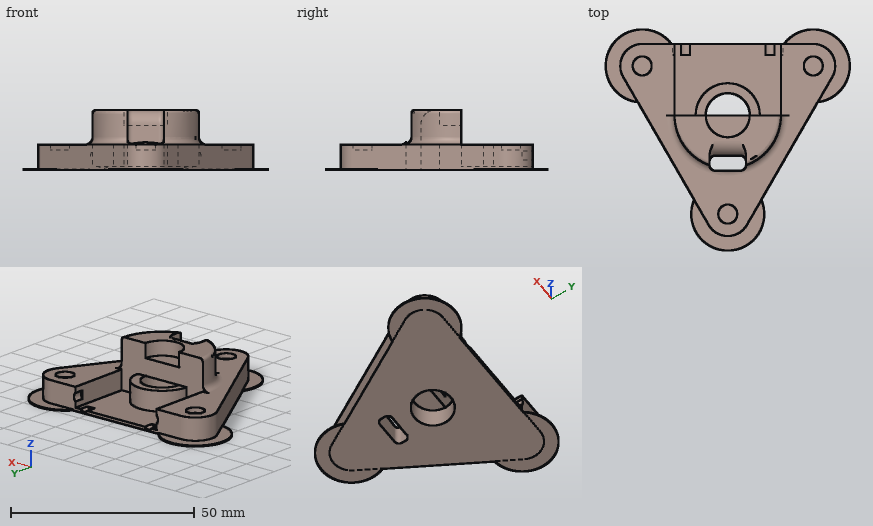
import cadquery as cq
import math

corner_spacing = 46.7
corner_radius = 6.0
base_height = 7.0
corner_distance = corner_spacing / math.sqrt(3)
back_y = corner_distance / 2 + corner_radius

pad_radius = 10.0
pad_thickness = 0.3
corner_hole_diameter = 5.2
corner_hole_depth = 1.55

total_height = 16.5
boss_radius = 14.55
boss_top_fillet = 1.0
boss_foot_fillet = 2.0
boss_pocket_depth = 4.35
bore_diameter = 12.0

channel_width = 2 * boss_radius
channel_floor = 1.0
hub_diameter = 17.55

groove_diameter = 3.5
groove_width = 2.5
groove_length = 3.0
floor_groove_offset = 11.55
wall_groove_z = (channel_floor + base_height) / 2

passage_width = 9.9
passage_thickness = 4.0
passage_corner_radius = 1.4
passage_bend_radius = 4.0
passage_inner_y = -11.1

corner_points = [
    (corner_distance * math.cos(math.radians(angle)), corner_distance * math.sin(math.radians(angle)))
    for angle in (30, 150, 270)
]


def cylinders(points, radius, height, bottom_z):
    """Upright cylinders of one size standing on the given points."""
    return cq.Workplane("XY", origin=(0, 0, bottom_z)).pushPoints(points).circle(radius).extrude(height)


def make_base():
    """Triangle through the corner centres, grown outward with round corners."""
    triangle = cq.Workplane("XY").polyline(corner_points).close()
    base = triangle.offset2D(corner_radius, "arc").extrude(base_height)
    return base.union(cylinders(corner_points, pad_radius, pad_thickness, 0))


def make_boss():
    """Half turn of the boss profile, with a flared foot and a rounded top rim."""
    foot_radius = boss_radius + boss_foot_fillet
    foot_top = base_height + boss_foot_fillet
    rim_radius = boss_radius - boss_top_fillet
    diagonal = math.sqrt(0.5)
    foot_mid = (
        foot_radius - boss_foot_fillet * diagonal,
        foot_top - boss_foot_fillet * diagonal,
    )
    rim_mid = (
        rim_radius + boss_top_fillet * diagonal,
        total_height - boss_top_fillet + boss_top_fillet * diagonal,
    )
    profile = (
        cq.Workplane("XZ")
        .moveTo(0, 0)
        .lineTo(foot_radius, 0)
        .lineTo(foot_radius, base_height)
        .threePointArc(foot_mid, (boss_radius, foot_top))
        .lineTo(boss_radius, total_height - boss_top_fillet)
        .threePointArc(rim_mid, (rim_radius, total_height))
        .lineTo(0, total_height)
        .close()
    )
    return profile.revolve(180, (0, 0), (0, -1))


def make_channel():
    """Channel space behind the boss face, less the hub that stays standing in it."""
    depth = base_height - channel_floor
    channel = cq.Workplane("XY", origin=(0, 0, channel_floor)).box(
        channel_width, back_y, depth, centered=(True, False, False)
    )
    return channel.cut(cylinders([(0, 0)], hub_diameter / 2, base_height, 0))


def make_grooves():
    """Cylinders along Y that dip into the channel floor and both side walls."""
    radius = groove_diameter / 2
    axis_lift = math.sqrt(radius**2 - (groove_width / 2) ** 2)
    wall_axis_x = channel_width / 2 - axis_lift
    bar = cq.Workplane("XZ", origin=(0, back_y, 0)).circle(radius).extrude(groove_length)
    grooves = cq.Workplane("XY")
    for side in (-1, 1):
        grooves = grooves.union(bar.translate((side * floor_groove_offset, 0, channel_floor + axis_lift)))
        grooves = grooves.union(bar.translate((side * wall_axis_x, 0, wall_groove_z)))
    return grooves


def make_passage():
    """Rounded rectangle run straight up, joined by a branch turned inward about the bend axis."""
    bend_z = total_height - passage_bend_radius
    bend_y = passage_inner_y + passage_bend_radius
    section = (
        cq.Sketch()
        .rect(passage_width, passage_thickness)
        .vertices()
        .fillet(passage_corner_radius)
    )
    center_y = passage_inner_y - passage_thickness / 2
    shaft = cq.Workplane("XY", origin=(0, center_y, 0)).placeSketch(section).extrude(total_height)
    axis_offset = bend_y - center_y
    bend = (
        cq.Workplane("XY", origin=(0, center_y, bend_z))
        .placeSketch(section)
        .revolve(90, (0, axis_offset, 0), (-1, axis_offset, 0))
    )
    return shaft.union(bend)


bore = cylinders([(0, 0)], bore_diameter / 2, base_height, 0)
boss_pocket = cylinders([(0, 0)], bore_diameter / 2, boss_pocket_depth, total_height - boss_pocket_depth)
corner_holes = cylinders(
    corner_points, corner_hole_diameter / 2, corner_hole_depth, base_height - corner_hole_depth
)

result = (
    make_base()
    .union(make_boss())
    .cut(make_channel())
    .cut(make_grooves())
    .cut(bore)
    .cut(boss_pocket)
    .cut(corner_holes)
    .cut(make_passage())
)